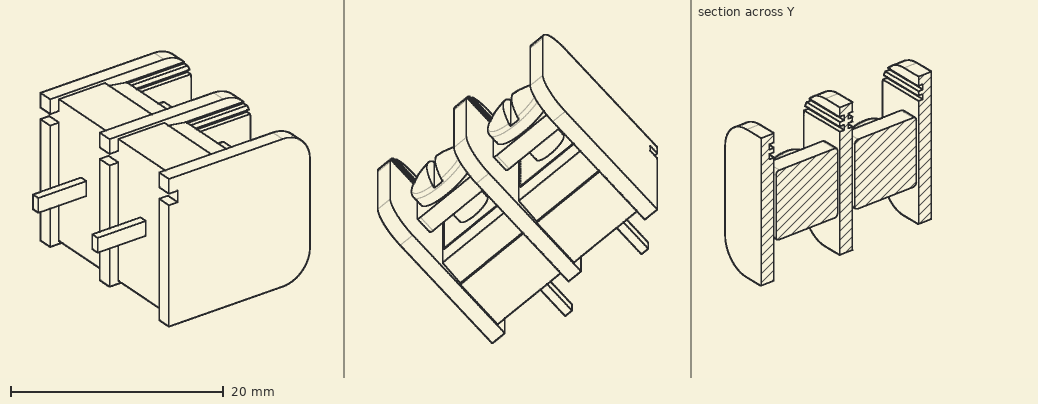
import cadquery as cq
import math


POLES = 2
POLE_PITCH = 9.51

WALL_THICK = 1.57
WALL_DEPTH = 16.38
WALL_HEIGHT = 15.88
WALL_CORNER_RADIUS = 3.18

NOTCH_DROP = 1.6
NOTCH_HEIGHT = 1.24
NOTCH_DEPTH = 1.03

GROOVE_SIZE = 0.52
GROOVE_DROPS = (2 * GROOVE_SIZE, 4 * GROOVE_SIZE)

BODY_FRONT = NOTCH_DEPTH
BODY_BACK = 8.9
BODY_HEIGHT = 15.25
TAPER_START = 6.37
STEP_DROP = 0.38
TAPER_DROP = 0.38

CLAMP_WIDTH = 7.5
CLAMP_HEIGHT = 7.5
CLAMP_CORNER_RADIUS = 0.42
CLAMP_FRONT = 11.0
CLAMP_THICK = 1.8
SHANK_RADIUS = 1.74
HEAD_RADIUS = 3.35
HEAD_HEIGHT = 2.33
HEAD_EDGE_RADIUS = 0.48
DOME_RADIUS = 6.28
SLOT_WIDTH = 1.05
SLOT_DEPTH = 1.09

CONTACT_THICK = 0.08

PIN_WIDTH = 0.85
PIN_HEIGHT = 1.6
PIN_LENGTH = 4.57

BLOCK_WIDTH = POLES * POLE_PITCH + WALL_THICK
WALL_TOP = WALL_HEIGHT / 2
CLAMP_BACK = CLAMP_FRONT + CLAMP_THICK
HEAD_BACK = CLAMP_BACK + HEAD_HEIGHT

wall_centres = [(i - POLES / 2) * POLE_PITCH for i in range(POLES + 1)]
pole_centres = [(i - (POLES - 1) / 2) * POLE_PITCH for i in range(POLES)]


def block(width, y_front, y_back, height, x=0.0, z=0.0):
    """Box centred on x and z, running from y_front to y_back."""
    depth = y_back - y_front
    return cq.Workplane("XY").box(width, depth, height).translate((x, y_front + depth / 2, z))


def cylinder(radius, y_front, y_back):
    """Cylinder along the Y axis."""
    return cq.Workplane("XZ", origin=(0, y_front, 0)).circle(radius).extrude(y_front - y_back)


def body():
    """Stepped and tapered block across the full width of the part."""
    half = BODY_HEIGHT / 2
    step_half = half - STEP_DROP
    back_half = step_half - TAPER_DROP
    profile = [
        (BODY_FRONT, -half),
        (TAPER_START, -half),
        (TAPER_START, -step_half),
        (BODY_BACK, -back_half),
        (BODY_BACK, back_half),
        (TAPER_START, step_half),
        (TAPER_START, half),
        (BODY_FRONT, half),
    ]
    return cq.Workplane("YZ").polyline(profile).close().extrude(BLOCK_WIDTH / 2, both=True)


def wall(x):
    """Barrier wall with rounded back corners, a front notch and grooves on its inner faces."""
    plate = block(WALL_THICK, 0, WALL_DEPTH, WALL_HEIGHT, x)
    plate = plate.edges("|X and >Y").fillet(WALL_CORNER_RADIUS)

    notch_z = WALL_TOP - NOTCH_DROP - NOTCH_HEIGHT / 2
    plate = plate.cut(block(WALL_THICK, 0, NOTCH_DEPTH, NOTCH_HEIGHT, x, notch_z))

    for side in (-1, 1):
        face_x = x + side * WALL_THICK / 2
        if abs(face_x) >= max(wall_centres):
            continue
        for drop in GROOVE_DROPS:
            groove_z = WALL_TOP - drop - GROOVE_SIZE / 2
            plate = plate.cut(
                block(2 * GROOVE_SIZE, BODY_BACK, WALL_DEPTH, GROOVE_SIZE, face_x, groove_z)
            )
    return plate


def screw_head():
    """Slotted cylinder head with a domed end blended into its side."""
    rim_y = HEAD_BACK - DOME_RADIUS + math.sqrt(DOME_RADIUS**2 - HEAD_RADIUS**2)
    head = (
        cq.Workplane("XY")
        .moveTo(0, CLAMP_BACK)
        .lineTo(HEAD_RADIUS, CLAMP_BACK)
        .lineTo(HEAD_RADIUS, rim_y)
        .radiusArc((0, HEAD_BACK), -DOME_RADIUS)
        .close()
        .revolve(360, (0, 0), (0, 1))
    )
    head = head.faces("%CYLINDER").edges(">Y").fillet(HEAD_EDGE_RADIUS)
    return head.cut(block(SLOT_WIDTH, HEAD_BACK - SLOT_DEPTH, HEAD_BACK, 2 * HEAD_RADIUS))


def terminal():
    """Screw, clamp plate, contact plate and pin of one pole, centred on X = 0."""
    clamp = block(CLAMP_WIDTH, CLAMP_FRONT, CLAMP_BACK, CLAMP_HEIGHT)
    clamp = clamp.edges("|Y").fillet(CLAMP_CORNER_RADIUS)
    contact = block(CLAMP_WIDTH, BODY_BACK, BODY_BACK + CONTACT_THICK, CLAMP_HEIGHT)
    shank = cylinder(SHANK_RADIUS, BODY_BACK, CLAMP_FRONT)
    pin = block(PIN_WIDTH, -PIN_LENGTH, BODY_FRONT, PIN_HEIGHT)
    return contact.union(shank).union(clamp).union(screw_head()).union(pin)


result = body()
for wall_x in wall_centres:
    result = result.union(wall(wall_x))
for pole_x in pole_centres:
    result = result.union(terminal().translate((pole_x, 0, 0)))